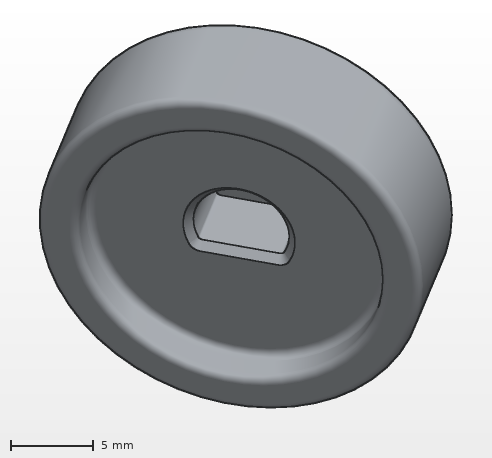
import cadquery as cq

outer_diameter = 24.0
width = 8.05
front_round = 0.5
back_round = 1.0

recess_diameter = 19.0
recess_depth = 2.25
recess_round = 0.5

bore_diameter = 6.0
flat_distance = 1.5
back_wall = 1.0
bore_depth = width - recess_depth - back_wall
bore_corner_round = 0.3
bore_chamfer = 0.5


def disc(diameter, start, length):
    """Cylinder along +Y starting at the given Y position."""
    plane = cq.Workplane("XZ", origin=(0, start, 0))
    return plane.circle(diameter / 2).extrude(-length)


def make_body():
    body = disc(outer_diameter, 0, width)
    body = body.faces("<Y").edges().fillet(front_round)
    return body.faces(">Y").edges().fillet(back_round)


def cut_recess(body):
    pocket = disc(recess_diameter, 0, recess_depth)
    pocket = pocket.faces(">Y").edges().fillet(recess_round)
    body = body.cut(pocket)
    rim = cq.selectors.RadiusNthSelector(0)
    return body.faces("<Y").edges(rim).fillet(recess_round)


def cut_shaft_hole(body):
    bore = disc(bore_diameter, recess_depth, bore_depth)
    kept_height = bore_diameter / 2 + flat_distance
    keep = cq.Workplane("XY", origin=(0, 0, -flat_distance)).box(
        bore_diameter, 2 * width, kept_height, centered=(True, True, False)
    )
    bore = bore.intersect(keep).faces("<Z").edges("|Y").fillet(bore_corner_round)
    body = body.cut(bore)
    tolerance = 0.02
    mouth = cq.selectors.BoxSelector(
        (-bore_diameter, recess_depth - tolerance, -bore_diameter),
        (bore_diameter, recess_depth + tolerance, bore_diameter),
    )
    return body.edges(mouth).chamfer(bore_chamfer)


result = cut_shaft_hole(cut_recess(make_body()))